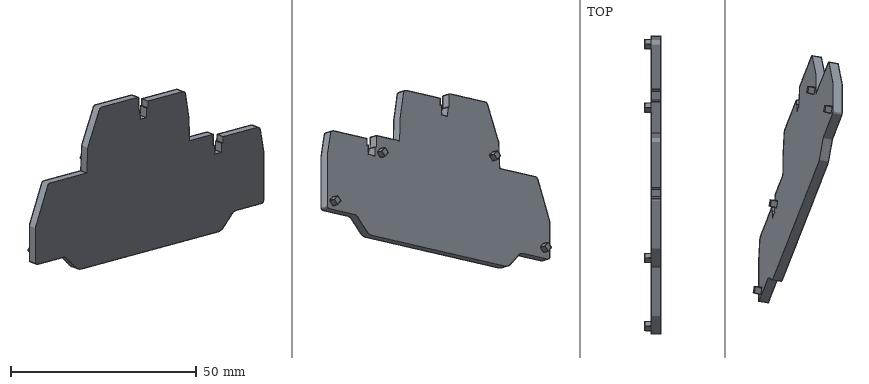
import cadquery as cq

LENGTH = 80.5
HEIGHT = 44.66
TOTAL_THICKNESS = 4.35
PLATE_THICKNESS = 2.6
PEG_LENGTH = TOTAL_THICKNESS - PLATE_THICKNESS

LEDGE_Z = 4.72
FOOT_INSET = 15.05
FOOT_SLOPE_RUN = 4.55
LEDGE_LENGTH = FOOT_INSET - FOOT_SLOPE_RUN
FOOT_RADIUS = 2.8
LEDGE_RADIUS = 1.8
END_RADIUS = 0.8

LOW_TOP_Z = 26.8
LOW_SIDE_Z = 19.6
LOW_SLOPE_RUN = 1.35
SHOULDER_RADIUS = 1.2

MOUTH_LEAN = 0.06
SLOT_LEAN = 0.1
LOW_NOTCH_START = 14.35
LOW_NOTCH_END = 17.8
LOW_NOTCH_STEP = 0.42
LOW_STEP_Z = 25.0
LOW_FLOOR_Z = 22.45
LOW_SLOT_START = LOW_NOTCH_START + MOUTH_LEAN + LOW_NOTCH_STEP
LOW_SLOT_END = LOW_NOTCH_END - MOUTH_LEAN - LOW_NOTCH_STEP
MID_LEDGE_Z = 28.25

TOWER_START = 26.15
TOWER_WALL_LEAN = 0.2
TOWER_SIDE_Z = 34.7
TOWER_SLOPE_RUN = 1.55
TOWER_TOP_Z = 42.8
TOWER_RADIUS = 1.2

TOP_NOTCH_START = 40.85
TOP_NOTCH_END = 44.05
TOP_NOTCH_NEAR_STEP = 0.4
TOP_NOTCH_FAR_STEP = 0.18
TOP_STEP_Z = 40.9
TOP_FLOOR_Z = 38.2
TOP_SLOT_START = TOP_NOTCH_START + MOUTH_LEAN + TOP_NOTCH_NEAR_STEP
TOP_SLOT_END = TOP_NOTCH_END - MOUTH_LEAN - TOP_NOTCH_FAR_STEP
TOP_FAR_LEAN = 0.42
PEAK_START_RADIUS = 0.4

PEAK_END = 57.75
TOWER_SLOPE_END = 62.05
TOWER_SLOPE_END_Z = 34.2
TOWER_END = 62.4
PEAK_RADIUS = 1.0
TOWER_BEND_RADIUS = 1.0

HIGH_TOP_Z = 27.0
HIGH_TOP_END = 75.95
HIGH_SIDE_Z = 15.4
HIGH_BEND_RADIUS = 2.4
HIGH_TOP_RADIUS = 1.0

PEG_CENTRES = [(2.2, 7.05), (19.35, 23.6), (59.95, 29.95), (78.35, 7.6)]
PEG_BASE_SIDE = 2.0
PEG_TAPER = 4.5
PEG_SPAN = 2.55

SQUARE = 0

OUTLINE = [
    (0, LEDGE_Z, END_RADIUS),
    (0, LOW_SIDE_Z, SQUARE),
    (LOW_SLOPE_RUN, LOW_TOP_Z, SHOULDER_RADIUS),
    (LOW_NOTCH_START, LOW_TOP_Z, SQUARE),
    (LOW_NOTCH_START + MOUTH_LEAN, LOW_STEP_Z, SQUARE),
    (LOW_SLOT_START, LOW_STEP_Z, SQUARE),
    (LOW_SLOT_START + SLOT_LEAN, LOW_FLOOR_Z, SQUARE),
    (LOW_SLOT_END - SLOT_LEAN, LOW_FLOOR_Z, SQUARE),
    (LOW_SLOT_END, LOW_STEP_Z, SQUARE),
    (LOW_NOTCH_END - MOUTH_LEAN, LOW_STEP_Z, SQUARE),
    (LOW_NOTCH_END, MID_LEDGE_Z, SQUARE),
    (TOWER_START, MID_LEDGE_Z, SQUARE),
    (TOWER_START + TOWER_WALL_LEAN, TOWER_SIDE_Z, SQUARE),
    (TOWER_START + TOWER_SLOPE_RUN, TOWER_TOP_Z, TOWER_RADIUS),
    (TOP_NOTCH_START, TOWER_TOP_Z, SQUARE),
    (TOP_NOTCH_START + MOUTH_LEAN, TOP_STEP_Z, SQUARE),
    (TOP_SLOT_START, TOP_STEP_Z, SQUARE),
    (TOP_SLOT_START + SLOT_LEAN, TOP_FLOOR_Z, SQUARE),
    (TOP_SLOT_END - TOP_FAR_LEAN, TOP_FLOOR_Z, SQUARE),
    (TOP_SLOT_END, TOP_STEP_Z, SQUARE),
    (TOP_NOTCH_END - MOUTH_LEAN, TOP_STEP_Z, SQUARE),
    (TOP_NOTCH_END, HEIGHT, PEAK_START_RADIUS),
    (PEAK_END, HEIGHT, PEAK_RADIUS),
    (TOWER_SLOPE_END, TOWER_SLOPE_END_Z, TOWER_BEND_RADIUS),
    (TOWER_END, HIGH_TOP_Z, SQUARE),
    (HIGH_TOP_END, HIGH_TOP_Z, HIGH_TOP_RADIUS),
    (LENGTH, HIGH_SIDE_Z, HIGH_BEND_RADIUS),
    (LENGTH, LEDGE_Z, END_RADIUS),
    (LENGTH - LEDGE_LENGTH, LEDGE_Z, LEDGE_RADIUS),
    (LENGTH - FOOT_INSET, 0, FOOT_RADIUS),
    (FOOT_INSET, 0, FOOT_RADIUS),
    (LEDGE_LENGTH, LEDGE_Z, LEDGE_RADIUS),
]


def y_at(distance):
    """Y coordinate at a distance from the +Y end; the part is centred on Y = 0."""
    return LENGTH / 2 - distance


def round_corner(plate, distance, z, radius):
    """Fillet the plate edge that runs along X through one outline corner."""
    corner = cq.selectors.NearestToPointSelector((PLATE_THICKNESS / 2, y_at(distance), z))
    return plate.edges("|X").edges(corner).fillet(radius)


def make_plate():
    """Plate between X = 0 and X = PLATE_THICKNESS."""
    points = [(y_at(distance), z) for distance, z, _ in OUTLINE]
    plate = cq.Workplane("YZ").polyline(points).close().extrude(PLATE_THICKNESS)
    for distance, z, radius in OUTLINE:
        if radius > 0:
            plate = round_corner(plate, distance, z, radius)
    return plate


def make_peg(distance, z):
    """Tapering square peg on the X = 0 face, standing on a corner, with all corners cut flat."""
    diamond = (
        cq.Workplane("YZ")
        .center(y_at(distance), z)
        .transformed(rotate=(0, 0, 45))
        .rect(PEG_BASE_SIDE, PEG_BASE_SIDE)
        .extrude(-PEG_LENGTH, taper=PEG_TAPER)
    )
    corner_limit = (
        cq.Workplane("YZ")
        .center(y_at(distance), z)
        .rect(PEG_SPAN, PEG_SPAN)
        .extrude(-PEG_LENGTH)
    )
    return diamond.intersect(corner_limit)


result = make_plate()
for peg_distance, peg_z in PEG_CENTRES:
    result = result.union(make_peg(peg_distance, peg_z))